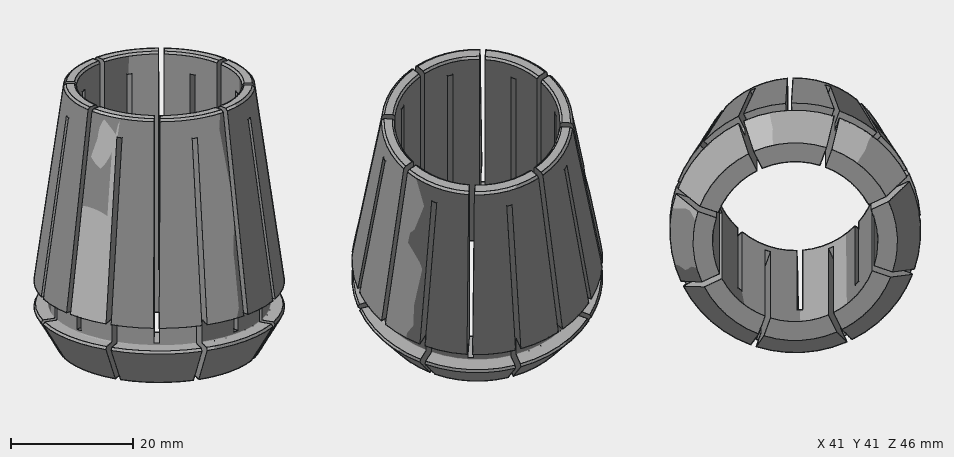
import cadquery as cq
import math

height = 46.0
bore_radius = 27.0 / 2
largest_radius = 41.0 / 2
taper_angle = 8.0
nose_angle = 30.0

nose_edge_z = 6.6
groove_bottom_z = 7.05
groove_top_z = 11.15
groove_radius = 18.12
groove_fillet = 0.2
mouth_chamfer = 0.35

slots_per_end = 8
slot_width = 0.9
lower_slot_top_z = 42.45
upper_slot_bottom_z = 7.6


def cone_inset(length, half_angle):
    """Radius lost over an axial length of a cone."""
    return length * math.tan(math.radians(half_angle))


def make_body():
    """Revolve the slotless sleeve: nose, groove, taper and straight bore."""
    nose_radius = largest_radius - cone_inset(nose_edge_z, nose_angle)
    rim_radius = largest_radius - cone_inset(groove_bottom_z - nose_edge_z, nose_angle)
    top_radius = largest_radius - cone_inset(height - groove_top_z, taper_angle)
    chamfer_base_z = height - mouth_chamfer
    chamfer_base_radius = top_radius + cone_inset(mouth_chamfer, taper_angle)
    fillet_radius = groove_radius + groove_fillet
    return (
        cq.Workplane("XZ")
        .moveTo(bore_radius, 0)
        .lineTo(nose_radius, 0)
        .lineTo(largest_radius, nose_edge_z)
        .lineTo(rim_radius, groove_bottom_z)
        .lineTo(fillet_radius, groove_bottom_z)
        .radiusArc((groove_radius, groove_bottom_z + groove_fillet), groove_fillet)
        .lineTo(groove_radius, groove_top_z - groove_fillet)
        .radiusArc((fillet_radius, groove_top_z), groove_fillet)
        .lineTo(largest_radius, groove_top_z)
        .lineTo(chamfer_base_radius, chamfer_base_z)
        .lineTo(top_radius - mouth_chamfer, height)
        .lineTo(bore_radius + mouth_chamfer, height)
        .lineTo(bore_radius, chamfer_base_z)
        .close()
        .revolve(360, (0, 0), (0, 1))
    )


def cut_slots(body, bottom_z, top_z, first_angle):
    """Cut a ring of radial slots, each blade spanning two opposite walls."""
    blade_length = 2 * height
    blade = (
        cq.Workplane("XY")
        .workplane(offset=bottom_z)
        .rect(blade_length, slot_width)
        .extrude(top_z - bottom_z)
    )
    for index in range(slots_per_end // 2):
        angle = first_angle + index * 360 / slots_per_end
        body = body.cut(blade.rotate((0, 0, 0), (0, 0, 1), angle))
    return body


half_pitch = 180 / slots_per_end
result = make_body()
result = cut_slots(result, 0, lower_slot_top_z, 0)
result = cut_slots(result, upper_slot_bottom_z, height, half_pitch)